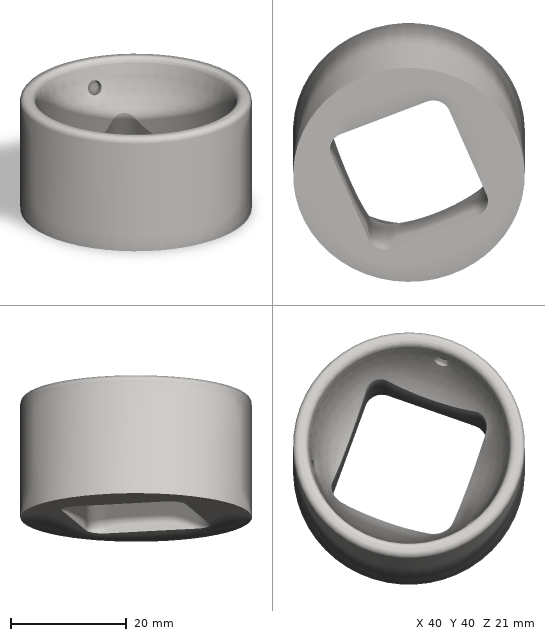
import cadquery as cq
import math

outer_diameter = 40
height = 21.0
rim_fillet = 1.0

cup_diameter = 35.0
cup_radius = cup_diameter / 2
cup_center_rise = 0.4
cup_center_z = height + cup_center_rise

window_length_x = 22
window_length_y = 23.0
window_corner_radius = 3.0

socket_diameter = 2.6
socket_depth = 1.2
socket_tilt = 17
socket_count = 3
first_socket_angle = -90


def make_body():
    """Cylinder with a spherical cup, rounded on both edges of the rim."""
    body = cq.Workplane("XY").circle(outer_diameter / 2).extrude(height)
    cup = cq.Workplane("XY").sphere(cup_radius).translate((0, 0, cup_center_z))
    return body.cut(cup).faces(">Z").edges().fillet(rim_fillet)


def make_window():
    """Vertical prism that opens the floor of the cup."""
    window = cq.Workplane("XY").rect(window_length_x, window_length_y).extrude(height)
    return window.edges("|Z").fillet(window_corner_radius)


def make_socket(angle):
    """Flat-bottomed cylinder from the cup centre into the wall, below the rim."""
    around = math.radians(angle)
    tilt = math.radians(socket_tilt)
    direction = cq.Vector(
        math.cos(tilt) * math.cos(around),
        math.cos(tilt) * math.sin(around),
        -math.sin(tilt),
    )
    center = cq.Vector(0, 0, cup_center_z)
    reach = cup_radius + socket_depth
    return cq.Solid.makeCylinder(socket_diameter / 2, reach, center, direction)


result = make_body().cut(make_window())
for index in range(socket_count):
    result = result.cut(make_socket(first_socket_angle + index * 360 / socket_count))